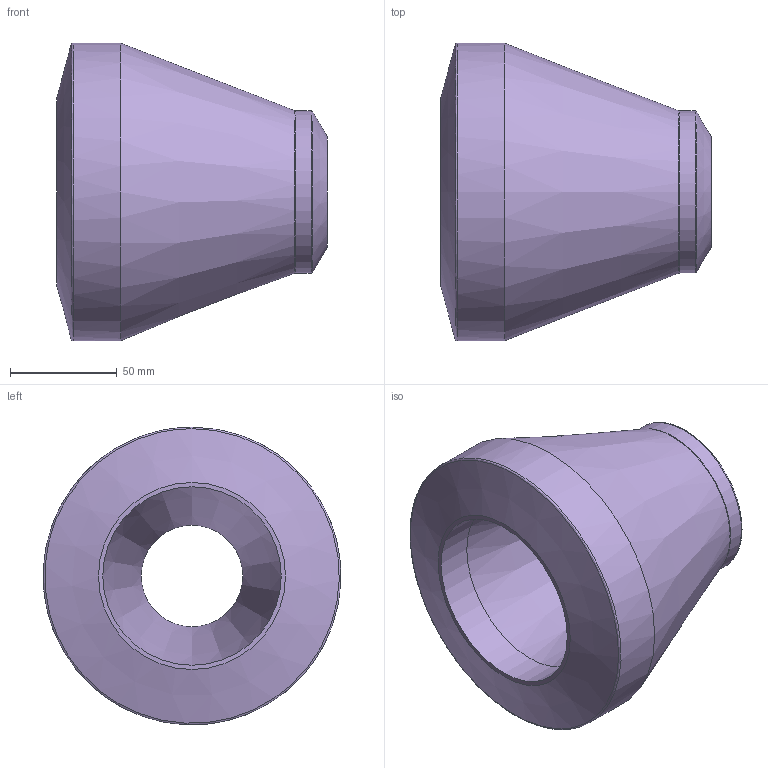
import cadquery as cq
import math

length = 127.0
large_outer_diameter = 139.7
large_bore_diameter = 83.7
large_straight_length = 30.0
small_outer_diameter = 76.1
small_bore_diameter = 47.7
small_straight_length = 15.0
bore_straight_length = 17.0

land_width = 2.0
large_bevel_angle = 15.0
small_bevel_angle = 30.0

edge_radius = 1.0

large_outer_radius = large_outer_diameter / 2
large_bore_radius = large_bore_diameter / 2
large_land_radius = large_bore_radius + land_width
small_outer_radius = small_outer_diameter / 2
small_bore_radius = small_bore_diameter / 2
small_land_radius = small_bore_radius + land_width

large_cone_end = large_straight_length
small_cone_end = length - small_straight_length


def bevel_depth(outer_radius, land_radius, angle):
    """Axial depth of a weld bevel tilted by angle from the end plane."""
    return (outer_radius - land_radius) * math.tan(math.radians(angle))


large_rim = bevel_depth(large_outer_radius, large_land_radius, large_bevel_angle)
small_rim = length - bevel_depth(small_outer_radius, small_land_radius, small_bevel_angle)


def make_body():
    """Revolve the wall section of the reducer about the X axis."""
    outline = [
        (0, large_bore_radius),
        (0, large_land_radius),
        (large_rim, large_outer_radius),
        (large_cone_end, large_outer_radius),
        (small_cone_end, small_outer_radius),
        (small_rim, small_outer_radius),
        (length, small_land_radius),
        (length, small_bore_radius),
        (length - bore_straight_length, small_bore_radius),
        (bore_straight_length, large_bore_radius),
    ]
    return cq.Workplane("XZ").polyline(outline).close().revolve(360, (0, 0, 0), (1, 0, 0))


def round_circle(body, position):
    """Round the circular outer edge that lies at the given position along the axis."""
    margin = edge_radius / 10
    reach = large_outer_diameter
    edge_zone = cq.selectors.BoxSelector(
        (position - margin, -reach, -reach),
        (position + margin, reach, reach),
    )
    return body.edges(edge_zone).fillet(edge_radius)


result = make_body()
for rounded_position in (large_rim, small_cone_end, small_rim):
    result = round_circle(result, rounded_position)